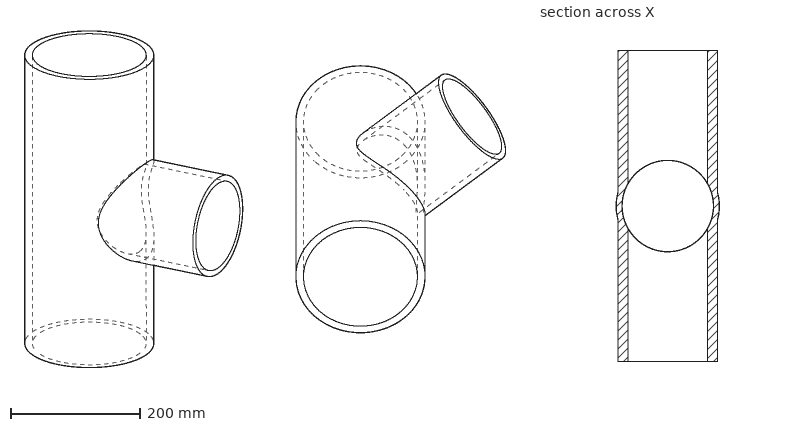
import cadquery as cq

run_diameter = 200.0
run_wall = 11.9
run_length = 481.0

branch_diameter = 160.0
branch_wall = 9.5
branch_reach = 227.0


def run_cylinder(diameter):
    """Full-length cylinder on the Z axis, centred on the origin."""
    return cq.Workplane("XY").circle(diameter / 2).extrude(run_length / 2, both=True)


def branch_cylinder(diameter):
    """Cylinder along +X from the run axis to the end of the branch."""
    return cq.Workplane("YZ").circle(diameter / 2).extrude(branch_reach)


outer_body = run_cylinder(run_diameter).union(branch_cylinder(branch_diameter))

run_bore = run_cylinder(run_diameter - 2 * run_wall)
branch_bore = branch_cylinder(branch_diameter - 2 * branch_wall)

result = outer_body.cut(run_bore).cut(branch_bore)